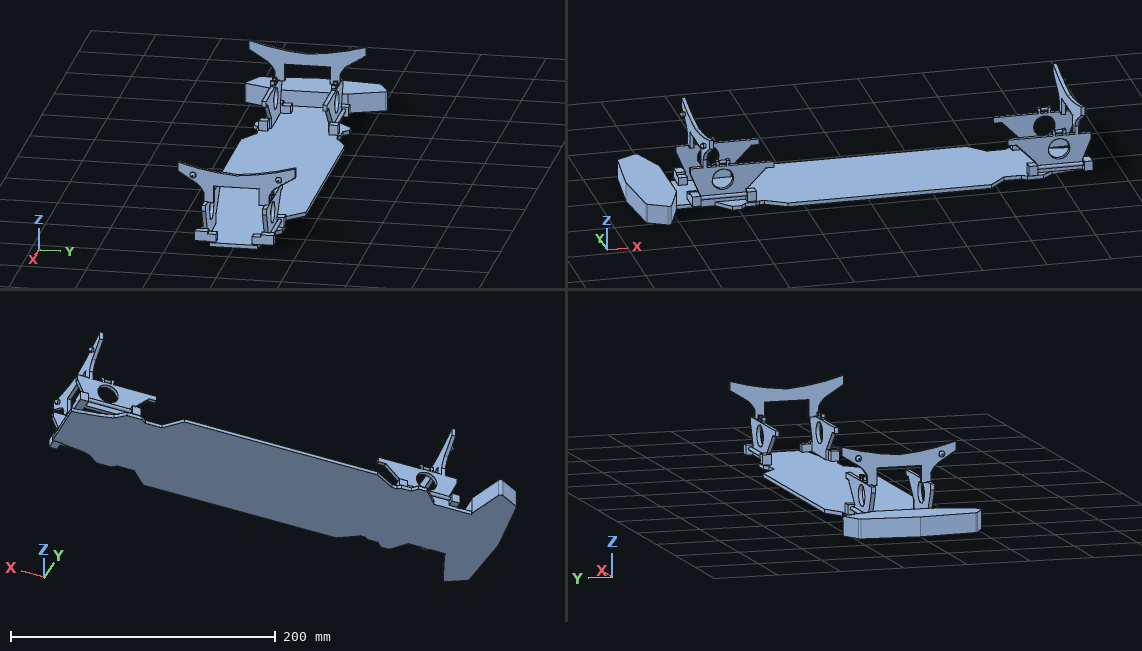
import cadquery as cq

LENGTH = 358.3
HEIGHT = 62.0
SHEET = 3.2
MIRROR_X = 200.3

BUMPER_HEIGHT = 15.5
BUMPER_BACK_X = 33.0
BUMPER_BACK_Y = 27.0
BUMPER_FRONT_CORNER = (4.5, 46.5)
BUMPER_TIP_CORNER = (22.0, 56.0)
BUMPER_FILLET = 2.0

FRONT_NECK_Y = 25.0
PLATE_Y = 40.0
REAR_NECK_Y = 27.2
TAIL_Y = 18.5
FRONT_EAR_Y = 37.0
FRONT_SHOULDER_Y = 32.5
FRONT_WAIST_Y = 30.8
REAR_EAR_Y = 30.0

WALL_OUTER_Y = 25.0
WALL_MIDDLE_Y = WALL_OUTER_Y - SHEET / 2
WALL_START_X = 44.5
WALL_END_X = 109.3
WALL_TOP_Z = 32.0
WALL_LIP = 4.5
WALL_LIP_LENGTH = 6.0
HOLE_X = 69.5
HOLE_Z = 21.0
HOLE_RADIUS = 8.2

BLOCK_LENGTH = 6.8
BLOCK_TOP_Z = 11.0
BLOCK_OUTER_Y = 30.5
BLOCK_STEP_Y = 20.5
BLOCK_STEP_Z = 9.3
BLOCK_INNER_Y = 14.0
FOOT_START_X = WALL_START_X + BLOCK_LENGTH
FOOT_END_X = 87.5
PIN_RADIUS = 1.5
PIN_Y = 27.0
PIN_Z = 8.2

ROD_HALF_LENGTH = 3.0
ROD_RADIUS = 1.25
ROD_Z = 34.8
LUG_NECK = 1.8
LUG_OVERHANG = 0.7
LUG_HEAD_Z = WALL_TOP_Z + 1.5
LUG_TOP_Z = 36.2

TOWER_X = 54.0
TOWER_HALF_WIDTH = 45.0
TOWER_TIP_Z = 54.8
TOWER_MIDDLE_Z = 53.7
TOWER_TOP_ARC_POINT = (23.0, 56.5)
TOWER_NECK_START = (30.8, 46.0)
TOWER_NECK_ARC_POINT = (27.5, 42.5)
TOWER_NECK_END_Z = 38.5
TOWER_WINDOW_Y = 17.5
TOWER_WINDOW_Z = 44.5
TOWER_FOOT_Z = WALL_TOP_Z - 0.7
PIVOT_Y = 33.0
PIVOT_Z = 53.0
PIVOT_REACH = 4.3
PIVOT_RADIUS = 2.33
PIVOT_BASE_RADIUS = 1.5
PIVOT_TIP_RADIUS = 0.5


def box(x0, x1, y0, y1, z0, z1):
    """Box given by its limits along each axis."""
    return cq.Workplane("XY").box(x1 - x0, y1 - y0, z1 - z0, centered=False).translate((x0, y0, z0))


def with_mirror(half):
    """Join a body on the +Y side with its mirror image."""
    return half.union(half.mirror("XZ"))


def bumper():
    half = (
        cq.Workplane("XY")
        .polyline([
            (0, 0),
            BUMPER_FRONT_CORNER,
            BUMPER_TIP_CORNER,
            (BUMPER_BACK_X, BUMPER_BACK_Y),
            (BUMPER_BACK_X, 0),
        ])
        .close()
        .extrude(BUMPER_HEIGHT)
    )
    for corner in (BUMPER_FRONT_CORNER, BUMPER_TIP_CORNER):
        edge = cq.selectors.NearestToPointSelector((*corner, BUMPER_HEIGHT / 2))
        half = half.edges("|Z").edges(edge).fillet(BUMPER_FILLET)
    return with_mirror(half)


def chassis_plate():
    half = (
        cq.Workplane("XY")
        .polyline([
            (BUMPER_BACK_X, 0),
            (BUMPER_BACK_X, FRONT_NECK_Y),
            (63.5, FRONT_NECK_Y),
            (74.0, FRONT_EAR_Y),
            (81.5, FRONT_EAR_Y),
            (85.3, FRONT_SHOULDER_Y),
            (93.5, FRONT_SHOULDER_Y),
            (96.5, FRONT_WAIST_Y),
            (100.3, FRONT_WAIST_Y),
            (116.5, PLATE_Y),
            (274.8, PLATE_Y),
            (287.7, REAR_NECK_Y),
            (301.3, REAR_NECK_Y),
            (305.2, REAR_EAR_Y),
            (317.8, REAR_EAR_Y),
            (325.5, 23.5),
            (336.8, 21.0),
            (347.5, 19.7),
            (353.5, TAIL_Y),
            (LENGTH, TAIL_Y),
            (LENGTH, 0),
        ])
        .close()
        .extrude(SHEET)
    )
    return with_mirror(half)


def side_wall():
    wall = (
        cq.Workplane("XZ", origin=(0, WALL_OUTER_Y, 0))
        .polyline([
            (WALL_START_X, WALL_TOP_Z),
            (WALL_END_X, WALL_TOP_Z),
            (WALL_END_X, WALL_TOP_Z - WALL_LIP),
            (WALL_END_X - WALL_LIP_LENGTH, WALL_TOP_Z - WALL_LIP),
            (FOOT_END_X, BLOCK_TOP_Z),
            (FOOT_END_X, SHEET),
            (FOOT_START_X, SHEET),
            (FOOT_START_X, BLOCK_TOP_Z),
            (WALL_START_X, WALL_TOP_Z - WALL_LIP),
        ])
        .close()
        .extrude(SHEET)
    )
    hole = (
        cq.Workplane("XZ", origin=(HOLE_X, WALL_OUTER_Y, HOLE_Z))
        .circle(HOLE_RADIUS)
        .extrude(SHEET)
    )
    return wall.cut(hole)


def hinge_pin_and_blocks():
    end_x = WALL_START_X
    inner_x = FOOT_END_X
    blocks = box(end_x, end_x + BLOCK_LENGTH, BLOCK_STEP_Y, BLOCK_OUTER_Y, SHEET, BLOCK_TOP_Z)
    blocks = blocks.union(
        box(end_x, end_x + BLOCK_LENGTH, BLOCK_INNER_Y, BLOCK_STEP_Y, SHEET, BLOCK_STEP_Z)
    )
    blocks = blocks.union(
        box(inner_x, inner_x + BLOCK_LENGTH, WALL_MIDDLE_Y, BLOCK_OUTER_Y, SHEET, BLOCK_TOP_Z)
    )
    pin = (
        cq.Workplane("YZ", origin=(end_x + BLOCK_LENGTH / 2, PIN_Y, PIN_Z))
        .circle(PIN_RADIUS)
        .extrude(inner_x - end_x)
    )
    return blocks.union(pin)


def wall_top_rod():
    rod = (
        cq.Workplane("YZ", origin=(HOLE_X - ROD_HALF_LENGTH, WALL_MIDDLE_Y, ROD_Z))
        .circle(ROD_RADIUS)
        .extrude(2 * ROD_HALF_LENGTH)
    )
    neck_end = ROD_HALF_LENGTH + LUG_NECK
    lug = (
        cq.Workplane("XZ", origin=(HOLE_X, WALL_OUTER_Y, 0))
        .polyline([
            (ROD_HALF_LENGTH, WALL_TOP_Z),
            (neck_end, WALL_TOP_Z),
            (neck_end, LUG_HEAD_Z),
            (neck_end + LUG_OVERHANG, LUG_HEAD_Z),
            (neck_end + LUG_OVERHANG, LUG_TOP_Z),
            (ROD_HALF_LENGTH, LUG_TOP_Z),
        ])
        .close()
        .extrude(SHEET)
    )
    return rod.union(lug).union(lug.mirror("YZ", (HOLE_X, 0, 0)))


def shock_tower():
    half = (
        cq.Workplane("YZ", origin=(TOWER_X, 0, 0))
        .moveTo(0, TOWER_MIDDLE_Z)
        .threePointArc(TOWER_TOP_ARC_POINT, (TOWER_HALF_WIDTH, HEIGHT))
        .lineTo(TOWER_HALF_WIDTH, TOWER_TIP_Z)
        .lineTo(*TOWER_NECK_START)
        .threePointArc(TOWER_NECK_ARC_POINT, (WALL_OUTER_Y, TOWER_NECK_END_Z))
        .lineTo(WALL_OUTER_Y, TOWER_FOOT_Z)
        .lineTo(TOWER_WINDOW_Y, TOWER_FOOT_Z)
        .lineTo(TOWER_WINDOW_Y, TOWER_WINDOW_Z)
        .lineTo(0, TOWER_WINDOW_Z)
        .close()
        .extrude(SHEET)
    )
    pivot = (
        cq.Workplane("XY", origin=(TOWER_X, PIVOT_Y, PIVOT_Z))
        .polyline([
            (SHEET / 2, 0),
            (SHEET / 2, PIVOT_BASE_RADIUS),
            (0, PIVOT_BASE_RADIUS),
            (-PIVOT_REACH / 2, PIVOT_RADIUS),
            (-PIVOT_REACH, PIVOT_TIP_RADIUS),
            (-PIVOT_REACH, 0),
        ])
        .close()
        .revolve(360, (0, 0), (1, 0))
    )
    return half.union(pivot)


def bulkhead():
    """Front bulkhead: both side walls with their fittings and the shock tower across them."""
    half = side_wall()
    half = half.union(hinge_pin_and_blocks())
    half = half.union(wall_top_rod())
    half = half.union(shock_tower())
    return with_mirror(half)


front_bulkhead = bulkhead()
rear_bulkhead = front_bulkhead.mirror("YZ", (MIRROR_X, 0, 0))
result = chassis_plate().union(bumper()).union(front_bulkhead).union(rear_bulkhead)